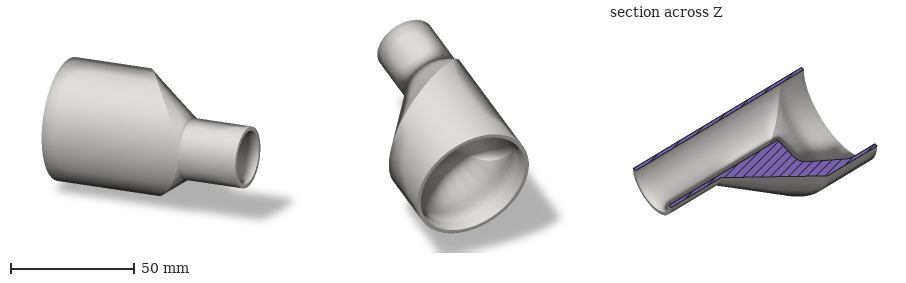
import cadquery as cq
import math

large_diameter = 50.8
small_diameter = 25.4
total_length = 85.725
large_straight_length = 25.4
small_end_length = 25.4

large_bore_diameter = 47.5
small_bore_diameter = 22.1
large_bore_depth = 10.7
floor_diameter = 18.4
taper_angle = math.radians(32)
blend_radius = 6.35

large_radius = large_diameter / 2
small_radius = small_diameter / 2
large_bore_radius = large_bore_diameter / 2
small_bore_radius = small_bore_diameter / 2
floor_radius = floor_diameter / 2

offset_y = small_radius - large_radius
cone_end_x = total_length - small_end_length


def cylinder_along_x(radius, start_x, end_x, center_y=0):
    return (
        cq.Workplane("YZ", origin=(start_x, center_y, 0))
        .circle(radius)
        .extrude(end_x - start_x)
    )


def reducing_cone():
    """Cone on the small end's axis, wide enough to contain the large body at its start."""
    slope = (large_diameter - small_diameter) / (cone_end_x - large_straight_length)
    start_radius = small_radius + slope * cone_end_x
    profile = [(0, 0), (0, start_radius), (cone_end_x, small_radius), (cone_end_x, 0)]
    cone = cq.Workplane("XY").polyline(profile).close().revolve(360, (0, 0, 0), (1, 0, 0))
    return cone.translate((0, offset_y, 0))


def outer_body():
    large_body = cylinder_along_x(large_radius, 0, cone_end_x).intersect(reducing_cone())
    small_end = cylinder_along_x(small_radius, cone_end_x, total_length, offset_y)
    return large_body.union(small_end)


def blend_point(center, angle):
    """Point on a blend arc in the XY plane, with the angle measured from +Y toward +X."""
    return (
        center[0] + blend_radius * math.sin(angle),
        center[1] + blend_radius * math.cos(angle),
    )


def large_cavity():
    """Straight bore, blended into a taper that is blended into a flat floor."""
    mouth_center = (large_bore_depth, large_bore_radius - blend_radius)
    mouth_middle = blend_point(mouth_center, taper_angle / 2)
    taper_start = blend_point(mouth_center, taper_angle)

    floor_angle = math.pi / 2
    taper_end_radius = floor_radius + blend_radius * math.cos(taper_angle)
    taper_end_x = taper_start[0] + (taper_start[1] - taper_end_radius) / math.tan(taper_angle)
    floor_center = (taper_end_x - blend_radius * math.sin(taper_angle), floor_radius)
    floor_middle = blend_point(floor_center, (taper_angle + floor_angle) / 2)
    floor_x = floor_center[0] + blend_radius

    return (
        cq.Workplane("XY")
        .lineTo(0, large_bore_radius)
        .lineTo(large_bore_depth, large_bore_radius)
        .threePointArc(mouth_middle, taper_start)
        .lineTo(taper_end_x, taper_end_radius)
        .threePointArc(floor_middle, (floor_x, floor_radius))
        .lineTo(floor_x, 0)
        .close()
        .revolve(360, (0, 0, 0), (1, 0, 0))
    )


small_bore = cylinder_along_x(small_bore_radius, large_bore_depth, total_length, offset_y)
result = outer_body().cut(large_cavity()).cut(small_bore)